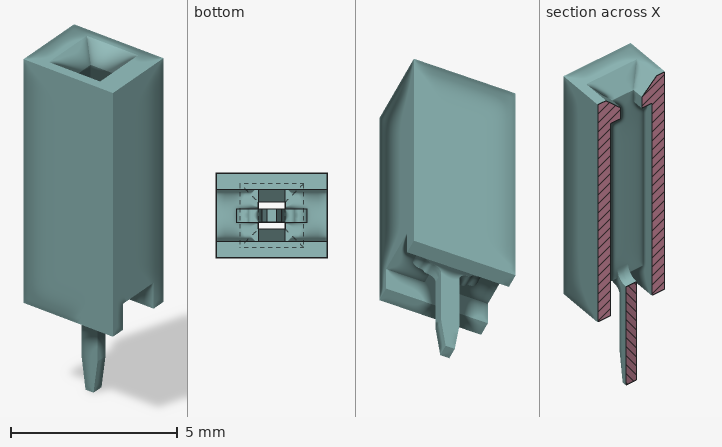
import cadquery as cq
import math

width = 3.34
depth = 2.54
total_height = 11.5
standoff_bottom = 3.0
standoff_height = 0.91
standoff_thickness = 0.5
floor_z = standoff_bottom + standoff_height
channel_depth = depth - 2 * standoff_thickness

mouth_size = 1.91
throat_size = 0.8
funnel_depth = (mouth_size - throat_size) / 2
throat_length = 0.45
chamber_top = total_height - funnel_depth - throat_length

pin_thickness = 0.4
stem_width = 0.6
tip_width = 0.3
taper_length = 1.14
stem_top = 3.32
neck_radius = 0.28
ripple_radius = 0.14
ripple_turn = math.radians(57)
shoulder_radius = 0.25
fork_inner_radius = throat_size / 2
fork_center_z = 4.25

ripple_run = ripple_radius * math.sin(ripple_turn)
ripple_rise = ripple_radius * (1 - math.cos(ripple_turn))
ripple_start = (stem_width / 2 + neck_radius, stem_top + neck_radius)
ripple_middle = (ripple_start[0] + ripple_run, ripple_start[1] + ripple_rise)
ripple_end = (ripple_middle[0] + ripple_run, ripple_middle[1] + ripple_rise)
fork_half_width = ripple_end[0] + shoulder_radius
shoulder_top = ripple_end[1] + shoulder_radius


def box_between(size_x, size_y, bottom, top):
    """Box centred on the Z axis, from the bottom height to the top height."""
    return cq.Workplane("XY").workplane(offset=bottom).rect(size_x, size_y).extrude(top - bottom)


def make_housing():
    block = box_between(width, depth, standoff_bottom, total_height)
    channel = box_between(width, channel_depth, standoff_bottom, floor_z)
    funnel = (
        cq.Workplane("XY").workplane(offset=total_height)
        .rect(mouth_size, mouth_size)
        .workplane(offset=-funnel_depth)
        .rect(throat_size, throat_size)
        .loft(combine=True)
    )
    throat = box_between(throat_size, throat_size, chamber_top, total_height - funnel_depth)
    chamber = box_between(throat_size, channel_depth, floor_z, chamber_top)
    tine_grooves = box_between(2 * fork_half_width, pin_thickness, floor_z, chamber_top)
    return block.cut(channel).cut(funnel).cut(throat).cut(chamber).cut(tine_grooves)


def make_contact():
    """Fork and stem: the +X half of the outline, mirrored about the Z axis."""
    half_outline = (
        cq.Workplane("XZ")
        .moveTo(0, 0)
        .lineTo(tip_width / 2, 0)
        .lineTo(stem_width / 2, taper_length)
        .lineTo(stem_width / 2, stem_top)
        .tangentArcPoint(ripple_start, relative=False)
        .threePointArc(
            (
                ripple_start[0] + ripple_radius * math.sin(ripple_turn / 2),
                ripple_start[1] + ripple_radius * (1 - math.cos(ripple_turn / 2)),
            ),
            ripple_middle,
        )
        .tangentArcPoint(ripple_end, relative=False)
        .tangentArcPoint((fork_half_width, shoulder_top), relative=False)
        .lineTo(fork_half_width, chamber_top)
        .lineTo(fork_inner_radius, chamber_top)
        .lineTo(fork_inner_radius, fork_center_z)
        .tangentArcPoint((0, fork_center_z - fork_inner_radius), relative=False)
    )
    return half_outline.mirrorY().extrude(pin_thickness / 2, both=True)


housing = make_housing()
contact = make_contact()
result = cq.Compound.makeCompound([*housing.solids().vals(), *contact.solids().vals()])